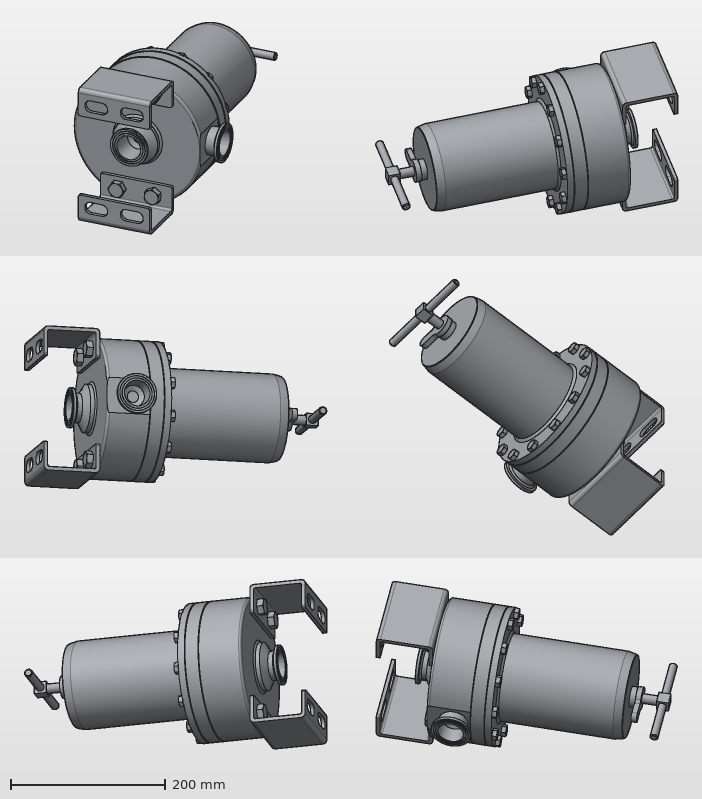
import cadquery as cq
import math


body_radius = 91.5
body_length = 86.0
body_edge_round = 3.5
port_flat_x = 88.5
port_flat_length = 57.5
flange_seam_y = 76.0
seam_width = 0.8
seam_depth = 0.8

shell_radius = 58.0
shell_straight_end_y = 240.0
shell_end_y = 252.3
shell_end_radius = 54.5
shell_end_chamfer = 0.8
shell_bulge = 0.5
shell_weld_radial = 3.8
shell_weld_axial = 3.0

neck_radius = 13.5
lever_hub_radius = 14.8
lever_start_y = shell_end_y + 8.0
lever_thickness = 7.0
lever_end_x = 40.0
lever_half_width = 7.5
lever_blend_radius = 6.0
stem_radius = 6.5
handle_end_y = 303.5
handle_block_size = 16.0
handle_bar_radius = 5.3
handle_bar_length = 127.0
handle_bar_chamfer = 1.0

flange_bolt_count = 12
flange_bolt_circle_radius = 83.5
flange_bolt_flats = 13.5
flange_bolt_height = 6.0

bracket_width = 101.7
bracket_depth = 75.0
bracket_outer_z = 95.5
bracket_leg = 38.5
bracket_thickness = 5.0
bracket_outer_bend = 5.5
bracket_inner_bend = 3.0
bracket_corner_round = 3.0
slot_length = 32.5
slot_height = 16.5
slot_x = 25.5
slot_z = 73.5
bracket_bolt_flats = 19.5
bracket_bolt_height = 8.7
bracket_bolts = ((-1, 1, 13), (1, 1, 0), (-1, -1, 0), (1, -1, 26))

port_neck_radius = 19.3
ferrule_radius = 26.0
ferrule_rim = 3.8
ferrule_back_radius = 22.5
ferrule_back = 4.5
ferrule_flare = 6.8
gasket_inner_radius = 20.0
gasket_outer_radius = 23.0
gasket_depth = 1.0
bore_mouth_radius = 17.0
bore_end_radius = 14.5
bore_cone_length = 3.8
bore_floor_radius = 7.5
port_boss_radius = 31.8
port_boss_length = 7.5
port_cone_end = 15.0
port_weld_radial = 3.5
port_weld_axial = 2.0
front_port_length = 28.5
side_port_end_x = 107.8
side_port_y = 35.5

overlap = 0.8


def turned(*points):
    """Solid of revolution about Y from (radius, y) points."""
    return cq.Workplane("XY").polyline(points).close().revolve(360, (0, 0, 0), (0, 1, 0))


def rod(radius, start_y, end_y):
    return turned((0, start_y), (radius, start_y), (radius, end_y), (0, end_y))


def ring(inner_radius, outer_radius, start_y, end_y):
    return turned(
        (inner_radius, start_y), (outer_radius, start_y), (outer_radius, end_y), (inner_radius, end_y)
    )


def hex_head(flats, height):
    """Hexagonal bolt head on y = 0, rising along +Y, corners rounded off at its top."""
    across_corners = flats / math.cos(math.radians(30))
    corner_cut = (across_corners - flats) / 2
    prism = cq.Workplane("XZ").polygon(6, across_corners).extrude(-height - overlap)
    envelope = cq.Workplane("XZ").circle(across_corners / 2).extrude(-height - overlap)
    envelope = envelope.faces(">Y").chamfer(corner_cut / 2, corner_cut)
    return prism.intersect(envelope).translate((0, -overlap, 0))


def make_body():
    body = rod(body_radius, 0, body_length).faces("<Y").edges().fillet(body_edge_round)
    flat_cut = cq.Workplane("XY").box(
        body_radius, port_flat_length, 2 * body_radius, centered=(False, False, True)
    )
    body = body.cut(flat_cut.translate((port_flat_x, 0, 0)))
    for start_y in (port_flat_length, flange_seam_y):
        seam = ring(body_radius - seam_depth, body_radius + overlap, start_y, start_y + seam_width)
        body = body.cut(seam)
    return body


def make_shell():
    weld_radius = shell_radius + shell_weld_radial
    taper_radius = shell_end_radius + shell_end_chamfer
    taper_y = shell_end_y - shell_end_chamfer
    bulge_radius = (shell_radius + taper_radius) / 2 + shell_bulge
    bulge_y = (shell_straight_end_y + taper_y) / 2
    return (
        cq.Workplane("XY")
        .moveTo(0, body_length - overlap)
        .lineTo(weld_radius, body_length - overlap)
        .lineTo(weld_radius, body_length)
        .lineTo(shell_radius, body_length + shell_weld_axial)
        .lineTo(shell_radius, shell_straight_end_y)
        .threePointArc((bulge_radius, bulge_y), (taper_radius, taper_y))
        .lineTo(shell_end_radius, shell_end_y)
        .lineTo(0, shell_end_y)
        .close()
        .revolve(360, (0, 0, 0), (0, 1, 0))
    )


def make_lever():
    """Round hub with a blended arm along +X."""
    blend_z = lever_half_width + lever_blend_radius
    blend_x = math.sqrt((lever_hub_radius + lever_blend_radius) ** 2 - blend_z**2)
    touch = lever_hub_radius / (lever_hub_radius + lever_blend_radius)
    touch_x = blend_x * touch
    touch_z = blend_z * touch
    lever_end_y = lever_start_y + lever_thickness
    arm = (
        cq.Workplane("XZ", origin=(0, lever_end_y, 0))
        .moveTo(0, touch_z)
        .lineTo(touch_x, touch_z)
        .radiusArc((blend_x, lever_half_width), -lever_blend_radius)
        .lineTo(lever_end_x - lever_half_width, lever_half_width)
        .threePointArc((lever_end_x, 0), (lever_end_x - lever_half_width, -lever_half_width))
        .lineTo(blend_x, -lever_half_width)
        .radiusArc((touch_x, -touch_z), -lever_blend_radius)
        .lineTo(0, -touch_z)
        .close()
        .extrude(lever_thickness)
    )
    return rod(lever_hub_radius, lever_start_y, lever_end_y).union(arm)


def make_handle():
    centre_y = handle_end_y - handle_block_size / 2
    neck = rod(neck_radius, shell_end_y - overlap, lever_start_y + overlap)
    stem = rod(stem_radius, lever_start_y, centre_y)
    block = cq.Workplane("XY").box(handle_block_size, handle_block_size, handle_block_size)
    bar = cq.Workplane("YZ").circle(handle_bar_radius).extrude(handle_bar_length / 2, both=True)
    bar = bar.faces("<X or >X").chamfer(handle_bar_chamfer)
    grip = block.union(bar).translate((0, centre_y, 0))
    return neck.union(make_lever()).union(stem).union(grip)


def make_flange_bolts():
    head = hex_head(flange_bolt_flats, flange_bolt_height)
    step = 360 / flange_bolt_count
    head = head.rotate((0, 0, 0), (0, 1, 0), step / 2)
    head = head.translate((flange_bolt_circle_radius, body_length, 0))
    bolts = cq.Workplane("XY")
    for index in range(flange_bolt_count):
        bolts = bolts.union(head.rotate((0, 0, 0), (0, 1, 0), (index + 0.5) * step))
    return bolts


def make_bracket():
    """Upper channel, open towards the main axis, with slots in its front leg."""
    leg_end_z = bracket_outer_z - bracket_leg
    outer = cq.Workplane("XY").box(
        bracket_width, bracket_depth, bracket_leg, centered=(True, False, False)
    )
    outer = outer.edges("|X and >Z").fillet(bracket_outer_bend)
    inner = cq.Workplane("XY").box(
        bracket_width,
        bracket_depth - 2 * bracket_thickness,
        bracket_leg - bracket_thickness,
        centered=(True, False, False),
    )
    inner = inner.edges("|X and >Z").fillet(bracket_inner_bend)
    channel = outer.cut(inner.translate((0, bracket_thickness, 0)))
    channel = channel.edges("|Y and <Z").fillet(bracket_corner_round)
    channel = channel.translate((0, -bracket_depth, leg_end_z))
    slots = (
        cq.Workplane("XZ", origin=(0, -bracket_depth, 0))
        .pushPoints([(-slot_x, slot_z), (slot_x, slot_z)])
        .slot2D(slot_length, slot_height)
        .extrude(-2 * bracket_thickness)
    )
    return channel.cut(slots)


def make_brackets():
    upper = make_bracket()
    brackets = upper.union(upper.mirror("XY"))
    head = hex_head(bracket_bolt_flats, bracket_bolt_height).rotate((0, 0, 0), (0, 0, 1), 180)
    for x_side, z_side, angle in bracket_bolts:
        turned_head = head.rotate((0, 0, 0), (0, 1, 0), -angle)
        place = (x_side * slot_x, -bracket_thickness, z_side * slot_z)
        brackets = brackets.union(turned_head.translate(place))
    return brackets


def make_ferrule(end_y):
    """Neck and clamp rim along +Y from y = 0, with a gasket groove in the end face."""
    ferrule = turned(
        (0, -overlap),
        (port_neck_radius, -overlap),
        (port_neck_radius, end_y - ferrule_flare),
        (ferrule_back_radius, end_y - ferrule_back),
        (ferrule_radius, end_y - ferrule_rim),
        (ferrule_radius, end_y),
        (0, end_y),
    )
    return ferrule.cut(ring(gasket_inner_radius, gasket_outer_radius, end_y - gasket_depth, end_y))


def make_bore(end_y):
    """Tapered blind bore down to y = 0, ending in a cone with a flat floor."""
    return turned(
        (0, -bore_cone_length),
        (bore_floor_radius, -bore_cone_length),
        (bore_end_radius, 0),
        (bore_mouth_radius, end_y),
        (0, end_y),
    )


def make_front_boss():
    return turned(
        (0, -overlap),
        (port_boss_radius + port_weld_radial, -overlap),
        (port_boss_radius + port_weld_radial, 0),
        (port_boss_radius, port_weld_axial),
        (port_boss_radius, port_boss_length),
        (port_neck_radius, port_cone_end),
        (0, port_cone_end),
    )


def point_forward(solid):
    return solid.rotate((0, 0, 0), (0, 0, 1), 180)


def point_sideways(solid):
    return solid.rotate((0, 0, 0), (0, 0, 1), -90).translate((port_flat_x, side_port_y, 0))


side_port_length = side_port_end_x - port_flat_x
front_port = make_ferrule(front_port_length).union(make_front_boss())

result = make_body()
result = result.union(make_shell())
result = result.union(make_handle())
result = result.union(make_flange_bolts())
result = result.union(make_brackets())
result = result.union(point_forward(front_port))
result = result.union(point_sideways(make_ferrule(side_port_length)))
result = result.cut(point_forward(make_bore(front_port_length)))
result = result.cut(point_sideways(make_bore(side_port_length)))